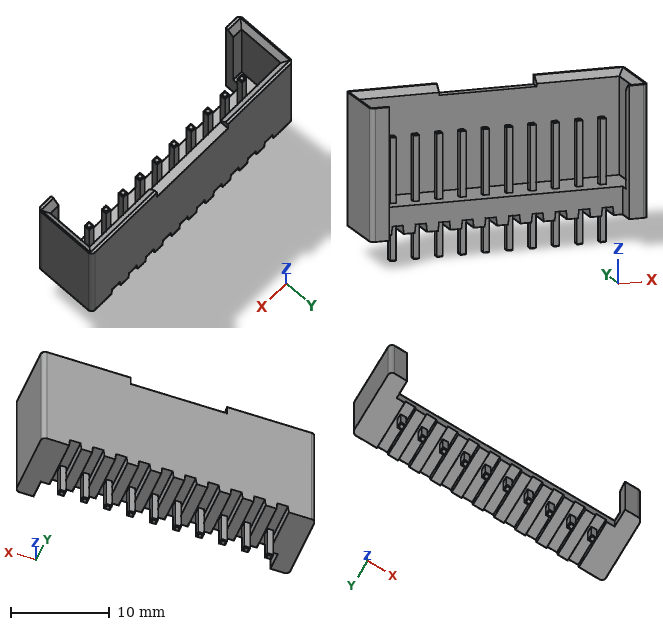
import cadquery as cq

length = 29.7
width = 7.5
height = 13.95
corner_radius = 0.48
end_wall = 0.77
side_wall = 1.05
floor_top = 2.95

lead_in_depth = 0.7
end_rim = 0.15
side_rim = 0.33

lip_length = 2.0
opening_depth = 2.05
cutout_length = 10.45
cutout_depth = 1.0

pin_count = 10
pin_row_length = 22.5
pin_size = 0.65
pin_top = 9.92
pin_tail = 3.15
pin_chamfer = 0.12

notch_height = 0.9
notch_top_width = 1.13
notch_bottom_width = 1.35

front_y = -width / 2
back_y = width / 2
pin_pitch = pin_row_length / (pin_count - 1)
pin_positions = [i * pin_pitch - pin_row_length / 2 for i in range(pin_count)]


def make_shell():
    """Rounded block hollowed from above, with a flared mouth."""
    block = (
        cq.Workplane("XY")
        .box(length, width, height, centered=(True, True, False))
        .edges("|Z")
        .fillet(corner_radius)
    )
    cavity_length = length - 2 * end_wall
    cavity_width = width - 2 * side_wall
    cavity = (
        cq.Workplane("XY", origin=(0, 0, floor_top))
        .rect(cavity_length, cavity_width)
        .extrude(height - floor_top)
    )
    lead_in = (
        cq.Workplane("XY", origin=(0, 0, height - lead_in_depth))
        .rect(cavity_length, cavity_width)
        .workplane(offset=lead_in_depth)
        .rect(length - 2 * end_rim, width - 2 * side_rim)
        .loft(ruled=True)
    )
    return block.cut(cavity).cut(lead_in)


def make_front_opening():
    """Full-height cut that leaves a lip at each front corner."""
    return cq.Workplane("XY", origin=(0, front_y, 0)).box(
        length - 2 * lip_length, opening_depth, height, centered=(True, False, False)
    )


def make_back_cutout():
    """Shallow cut in the top edge of the back wall."""
    return cq.Workplane("XY", origin=(0, back_y - side_wall, height - cutout_depth)).box(
        cutout_length, side_wall, cutout_depth, centered=(True, False, False)
    )


def make_notch(x):
    """Tapered notch running through the base from front to back."""
    return (
        cq.Workplane("XZ", origin=(x, back_y, 0))
        .moveTo(-notch_bottom_width / 2, 0)
        .lineTo(-notch_top_width / 2, notch_height)
        .lineTo(notch_top_width / 2, notch_height)
        .lineTo(notch_bottom_width / 2, 0)
        .close()
        .extrude(width)
    )


def make_pin(x):
    """Square pin passing through the floor, chamfered at both ends."""
    return (
        cq.Workplane("XY", origin=(x, 0, -pin_tail))
        .box(pin_size, pin_size, pin_tail + pin_top, centered=(True, True, False))
        .faces("<Z or >Z")
        .chamfer(pin_chamfer)
    )


result = make_shell().cut(make_front_opening()).cut(make_back_cutout())
for pin_x in pin_positions:
    result = result.cut(make_notch(pin_x))
for pin_x in pin_positions:
    result = result.union(make_pin(pin_x))